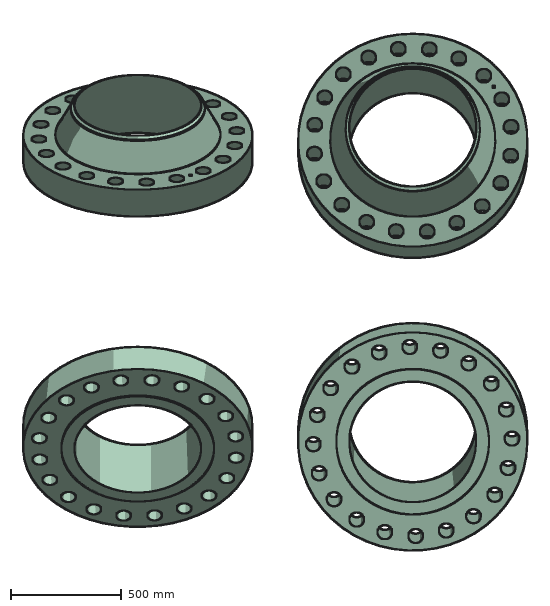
import cadquery as cq
import math

flange_diameter = 1041.0
overall_height = 299.0

raised_face_height = 6.0
raised_face_diameter = 693.0
flange_thickness = 140.0
flange_top = raised_face_height + flange_thickness

bore_diameter = 575.0
hub_base_diameter = 750.0
hub_foot_height = 3.0
weld_end_diameter = 609.0
root_face_width = 2.0
bevel_height = 12.0
weld_land_height = 6.0
bevel_bottom = overall_height - bevel_height
taper_top = bevel_bottom - weld_land_height

bolt_count = 20
bolt_circle_diameter = 902.0
bolt_hole_diameter = 67.0
bolt_pitch_angle = 360 / bolt_count
small_hole_diameter = 6.0
countersink_diameter = 12.0
countersink_depth = (countersink_diameter - small_hole_diameter) / 2
small_hole_depth = 25.0
small_hole_angle = bolt_pitch_angle / 2


def flange_body():
    """Revolve the half section of the flange, hub and raised face."""
    bore_radius = bore_diameter / 2
    section = [
        (bore_radius, 0),
        (raised_face_diameter / 2, 0),
        (raised_face_diameter / 2, raised_face_height),
        (flange_diameter / 2, raised_face_height),
        (flange_diameter / 2, flange_top),
        (hub_base_diameter / 2, flange_top),
        (hub_base_diameter / 2, flange_top + hub_foot_height),
        (weld_end_diameter / 2, taper_top),
        (weld_end_diameter / 2, bevel_bottom),
        (bore_radius + root_face_width, overall_height),
        (bore_radius, overall_height),
    ]
    return cq.Workplane("XZ").polyline(section).close().revolve(360, (0, 0), (0, 1))


def bolt_holes():
    """Through holes evenly spaced on the bolt circle, the first on +X."""
    return (
        cq.Workplane("XY")
        .polarArray(bolt_circle_diameter / 2, 0, 360, bolt_count)
        .circle(bolt_hole_diameter / 2)
        .extrude(flange_top)
    )


def small_hole():
    """Blind hole with a 90 degree countersink, sunk into the flange top on the bolt circle."""
    angle = math.radians(small_hole_angle)
    bolt_circle_radius = bolt_circle_diameter / 2
    hole_radius = small_hole_diameter / 2
    section = [
        (0, 0),
        (countersink_diameter / 2, 0),
        (hole_radius, -countersink_depth),
        (hole_radius, -small_hole_depth),
        (0, -small_hole_depth),
    ]
    hole = cq.Workplane("XZ").polyline(section).close().revolve(360, (0, 0), (0, 1))
    return hole.translate(
        (bolt_circle_radius * math.cos(angle), bolt_circle_radius * math.sin(angle), flange_top)
    )


result = flange_body().cut(bolt_holes()).cut(small_hole())